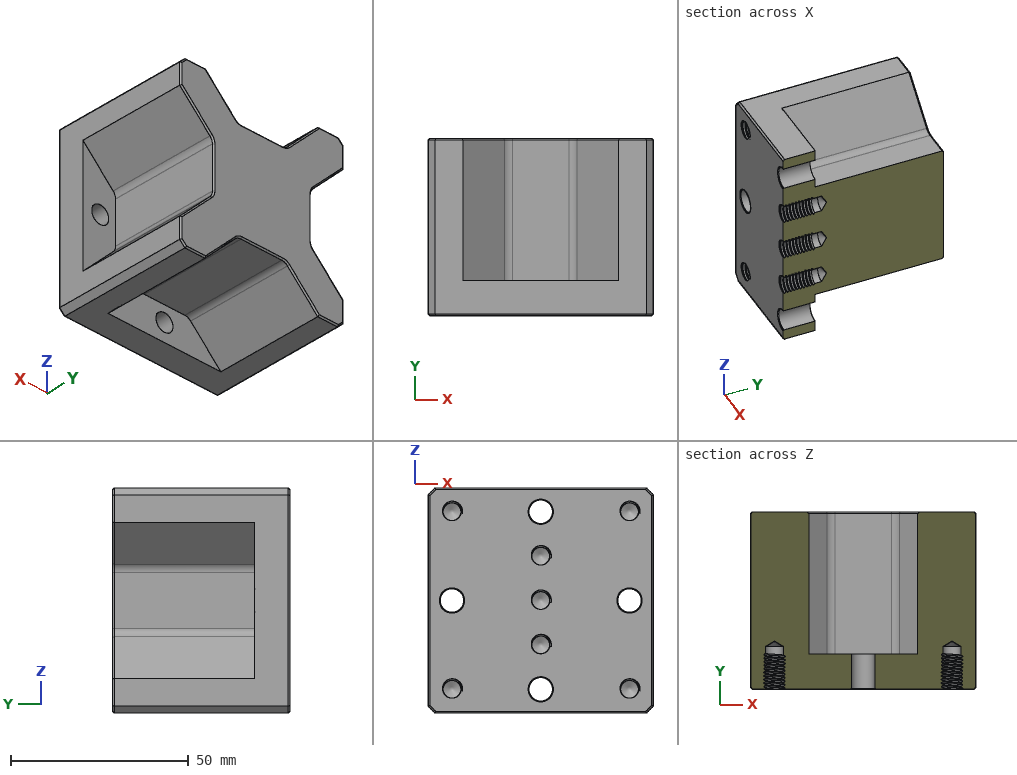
import cadquery as cq
import math

side = 63.5
depth = 50.0
corner_chamfer = 2.0
edge_chamfer = 0.5
front_y = -depth / 2

plate_thickness = 10.0
pocket_depth = 12.7
pocket_mouth_half = 21.95
pocket_floor_half = pocket_mouth_half - pocket_depth
pocket_fillet = 3.2

hole_offset = 25.0
clearance_diameter = 6.6
clearance_chamfer = 0.25
clearance_chamfer_angle = 45.0
column_pitch = 12.5

thread_pitch = 1.0
thread_major_radius = 3.0
thread_groove_width = 0.9
tap_drill_radius = 2.5
tap_drill_depth = 12.0
drill_tip_angle = 118.0
thread_length = tap_drill_depth - 2 * thread_pitch
groove_overlap = 0.1


def make_block():
    block = cq.Workplane("XY").box(side, depth, side)
    return block.edges("|Y").chamfer(corner_chamfer)


def make_pocket_cutter():
    """Trapezoidal prism that cuts the pocket in the top (+Z) side."""
    mouth_z = side / 2
    floor_z = mouth_z - pocket_depth
    plate_back_y = front_y + plate_thickness
    outline = [
        (-pocket_mouth_half, mouth_z),
        (-pocket_floor_half, floor_z),
        (pocket_floor_half, floor_z),
        (pocket_mouth_half, mouth_z),
    ]
    cutter = (
        cq.Workplane("XZ", origin=(0, plate_back_y, 0))
        .polyline(outline)
        .close()
        .extrude(-(depth - plate_thickness))
    )
    floor_edges = cutter.faces("<Z").edges("|Y")
    return floor_edges.fillet(pocket_fillet)


def cut_pockets(body):
    cutter = make_pocket_cutter()
    for angle in (0, 90, 180, 270):
        body = body.cut(cutter.rotate((0, 0, 0), (0, 1, 0), angle))
    return body


def chamfer_end_faces(body):
    body = body.faces("<Y").edges().chamfer(edge_chamfer)
    return body.faces(">Y").edges().chamfer(edge_chamfer)


def drill_clearance_holes(body):
    """Through holes in the middle of each side, running out into the pockets."""
    points = [(hole_offset, 0), (-hole_offset, 0), (0, hole_offset), (0, -hole_offset)]
    rim_radius = clearance_diameter / 2 + clearance_chamfer
    bores = (
        cq.Workplane("XZ", origin=(0, front_y, 0))
        .pushPoints(points)
        .circle(clearance_diameter / 2)
        .extrude(-depth)
    )
    rims = (
        cq.Workplane("XZ", origin=(0, front_y, 0))
        .pushPoints(points)
        .circle(rim_radius)
        .extrude(-clearance_chamfer, taper=clearance_chamfer_angle)
    )
    return body.cut(bores).cut(rims)


def make_drill():
    """Tap drill with a conical tip, pointing along +Z from the origin."""
    tip_length = tap_drill_radius / math.tan(math.radians(drill_tip_angle / 2))
    return (
        cq.Workplane("XZ")
        .lineTo(tap_drill_radius, 0)
        .lineTo(tap_drill_radius, tap_drill_depth)
        .lineTo(0, tap_drill_depth + tip_length)
        .close()
        .revolve(360, (0, 0, 0), (0, 1, 0))
        .val()
    )


def make_thread_groove():
    """V groove along a helix about Z, starting one pitch in front of the face."""
    helix = cq.Wire.makeHelix(thread_pitch, thread_length + thread_pitch, tap_drill_radius)
    root_radius = tap_drill_radius - groove_overlap
    groove = (
        cq.Workplane("XZ")
        .moveTo(root_radius, -thread_groove_width / 2)
        .lineTo(thread_major_radius, 0)
        .lineTo(root_radius, thread_groove_width / 2)
        .close()
        .sweep(cq.Workplane(obj=helix), isFrenet=True)
    )
    return groove.translate((0, 0, -thread_pitch)).val()


def cut_tapped_holes(body):
    corners = [(x, z) for x in (-hole_offset, hole_offset) for z in (-hole_offset, hole_offset)]
    column = [(0, z) for z in (-column_pitch, 0, column_pitch)]
    tapped_hole = make_drill().fuse(make_thread_groove())
    for x, z in corners + column:
        hole = cq.Plane(origin=(x, front_y, z), xDir=(0, 0, 1), normal=(0, 1, 0))
        body = body.cut(cq.Workplane(obj=tapped_hole.moved(hole.location)))
    return body


result = make_block()
result = cut_pockets(result)
result = chamfer_end_faces(result)
result = drill_clearance_holes(result)
result = cut_tapped_holes(result).solids()